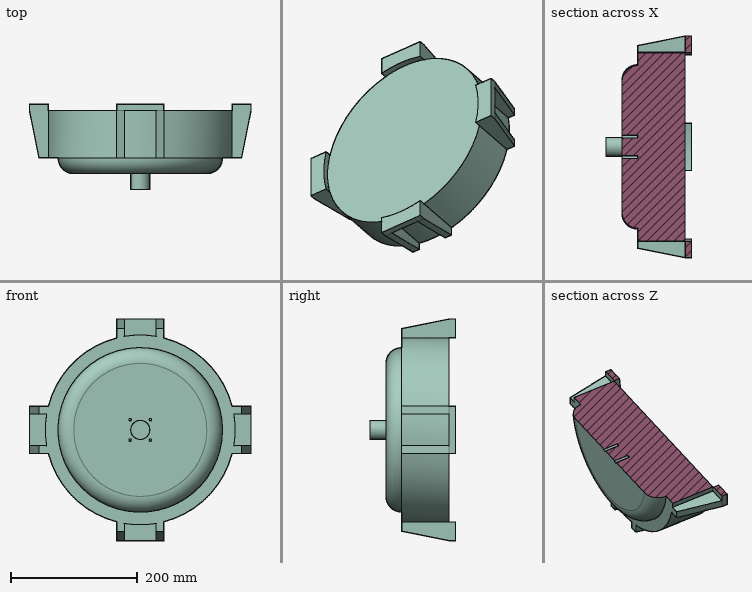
import cadquery as cq

outer_span = 350.0
drum_radius = 150.0
drum_depth = 75.0
dome_radius = 130.0
dome_height = 25.0
shaft_diameter = 30.0
shaft_length = 25.2
screw_diameter = 4.0
screw_offset = 16.0
screw_depth = dome_height

lug_count = 4
lug_width = 75.0
lug_window = 50.0
lug_front_inset = 15.0
lug_plate_thickness = 10.0

lug_reach = outer_span / 2
rib_width = (lug_width - lug_window) / 2
rib_center = (lug_window + rib_width) / 2
lug_root = drum_radius / 2


def cylinder_along_y(radius, y_start, length):
    """Solid cylinder on the Y axis, from y_start toward +Y."""
    return cq.Workplane("XZ", origin=(0, y_start, 0)).circle(radius).extrude(-length)


def make_lug():
    """Lug at the top (+Z): two tapered ribs closed at the back by a plate."""
    rib = (
        cq.Workplane("YZ")
        .polyline([
            (0, lug_root),
            (0, lug_reach - lug_front_inset),
            (drum_depth, lug_reach),
            (drum_depth, lug_root),
        ])
        .close()
        .extrude(rib_width / 2, both=True)
    )
    plate = (
        cq.Workplane("XY", origin=(0, drum_depth, lug_root))
        .box(lug_width, lug_plate_thickness, lug_reach - lug_root, centered=(True, False, False))
        .cut(cylinder_along_y(drum_radius, drum_depth, lug_plate_thickness))
    )
    lug = plate
    for side in (-1, 1):
        lug = lug.union(rib.translate((side * rib_center, 0, 0)))
    return lug


def make_dome():
    """Low round cover on the front face, with a rounded rim."""
    rim_tangent_radius = dome_radius - dome_height
    profile = (
        cq.Workplane("XY")
        .moveTo(0, 0)
        .lineTo(dome_radius, 0)
        .radiusArc((rim_tangent_radius, -dome_height), dome_height)
        .lineTo(0, -dome_height)
        .close()
    )
    return profile.revolve(360, (0, 0, 0), (0, 1, 0))


def make_screw_holes():
    """Four blind holes in a square around the shaft."""
    return (
        cq.Workplane("XZ", origin=(0, -dome_height, 0))
        .rect(2 * screw_offset, 2 * screw_offset, forConstruction=True)
        .vertices()
        .circle(screw_diameter / 2)
        .extrude(-screw_depth)
    )


def make_housing():
    """Drum with its dome, four mounting lugs and the screw holes."""
    housing = cylinder_along_y(drum_radius, 0, drum_depth).union(make_dome())
    lug = make_lug()
    for index in range(lug_count):
        angle = index * 360 / lug_count
        housing = housing.union(lug.rotate((0, 0, 0), (0, 1, 0), angle))
    return housing.cut(make_screw_holes())


def make_shaft():
    """Plain shaft standing on the front face of the dome."""
    return cylinder_along_y(shaft_diameter / 2, -dome_height - shaft_length, shaft_length)


housing = make_housing()
shaft = make_shaft()
result = cq.Compound.makeCompound([housing.val(), shaft.val()])